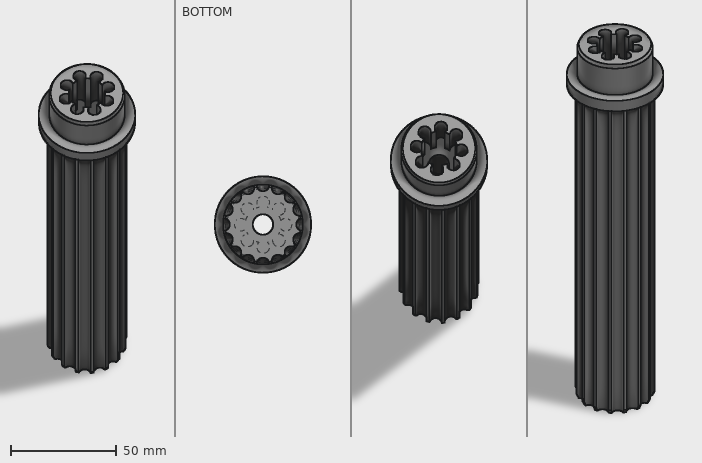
import cadquery as cq

total_length = 200.0
boss_height = 17.0
flange_thickness = 6.0
flange_bottom = total_length - boss_height - flange_thickness

flange_radius = 23.0
boss_radius = 18.0
shaft_radius = 19.0
boss_bevel_height = 1.8
boss_bevel_width = 0.8
foot_bevel_height = 2.2
foot_bevel_width = 1.0

flute_count = 16
flute_radius = 3.0
flute_axis_radius = 18.8

lobe_count = 8
socket_radius = 8.5
lobe_radius = 3.0
lobe_axis_radius = 10.5
socket_depth = boss_height + flange_thickness
bore_radius = 4.8


def make_body():
    """Shaft, flange and boss as one revolved half profile."""
    return (
        cq.Workplane("XZ")
        .moveTo(0, 0)
        .lineTo(shaft_radius - foot_bevel_width, 0)
        .lineTo(shaft_radius, foot_bevel_height)
        .lineTo(shaft_radius, flange_bottom)
        .lineTo(flange_radius, flange_bottom)
        .lineTo(flange_radius, flange_bottom + flange_thickness)
        .lineTo(boss_radius, flange_bottom + flange_thickness)
        .lineTo(boss_radius, total_length - boss_bevel_height)
        .lineTo(boss_radius - boss_bevel_width, total_length)
        .lineTo(0, total_length)
        .close()
        .revolve(360, (0, 0, 0), (0, 1, 0))
    )


def make_flute():
    """Ball-ended cutter path that runs out just under the flange."""
    ball_height = flange_bottom - flute_radius
    rod = cq.Workplane("XY").circle(flute_radius).extrude(ball_height)
    ball = cq.Workplane("XY").sphere(flute_radius).translate((0, 0, ball_height))
    return rod.union(ball).translate((flute_axis_radius, 0, 0))


def make_socket():
    """Round socket with a ring of part-round lobes opening into it."""
    floor = cq.Workplane("XY").workplane(offset=total_length - socket_depth)
    lobes = floor.polarArray(lobe_axis_radius, 0, 360, lobe_count).circle(lobe_radius).extrude(socket_depth)
    return floor.circle(socket_radius).extrude(socket_depth).union(lobes)


result = make_body()
flute = make_flute()
for index in range(flute_count):
    result = result.cut(flute.rotate((0, 0, 0), (0, 0, 1), index * 360 / flute_count))
result = result.cut(make_socket())
result = result.cut(cq.Workplane("XY").circle(bore_radius).extrude(total_length))